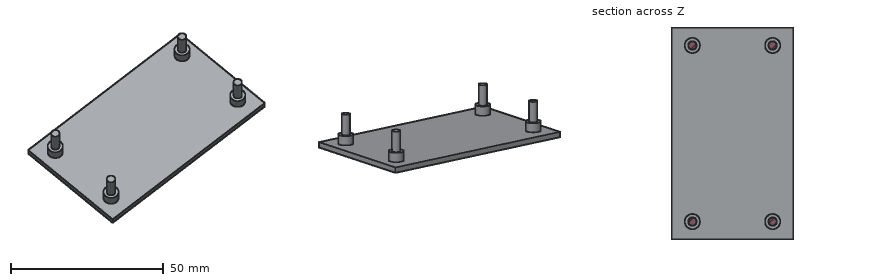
import cadquery as cq

plate_width = 40.0
plate_length = 69.6
plate_thickness = 1.9

collar_diameter = 5.0
collar_height = 3.1
pin_diameter = 2.8
total_height = 12.0
post_spacing_x = 26.4
post_spacing_y = 57.9

collar_top = plate_thickness + collar_height


def posts(diameter, top):
    """Four cylinders rising from the bottom of the plate to the given height."""
    return (
        cq.Workplane("XY")
        .rect(post_spacing_x, post_spacing_y, forConstruction=True)
        .vertices()
        .circle(diameter / 2)
        .extrude(top)
    )


plate = cq.Workplane("XY").box(
    plate_width, plate_length, plate_thickness, centered=(True, True, False)
)
collars = posts(collar_diameter, collar_top)
pins = posts(pin_diameter, total_height)

result = plate.union(collars).union(pins)